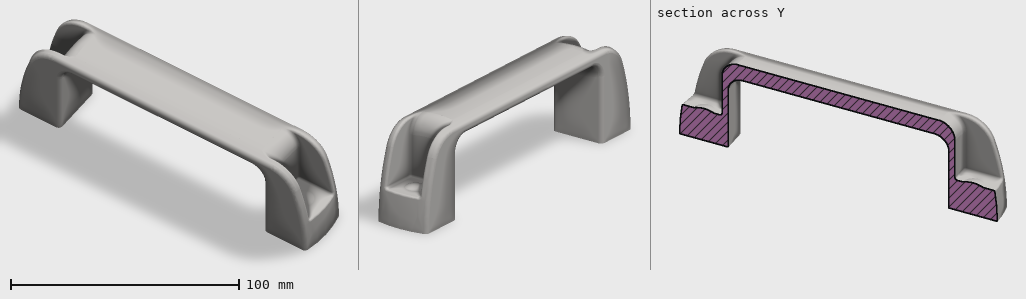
import math

import cadquery as cq

LENGTH = 156.0
WIDTH = 27.0
HEIGHT = 45.0

END_RADIUS = 100.0
SHOULDER_RADIUS = 16.0

CROWN_RADIUS = 50.0
CROWN_CUTTER_DEPTH = 4.0

OPENING_LENGTH = 108.0
OPENING_HEIGHT = 37.0
OPENING_FILLET = 7.0
SIDE_FILLET = 2.0

POCKET_WIDTH = 18.4
POCKET_FLOOR = 16.0
POCKET_WALL_X = 57.2
POCKET_FILLET = 1.0
RIM_FILLET = 1.0
ROLL_RADIUS = 8.5
ROLL_RISE = 0.05

CAP_SPACING = 132.0
CAP_DIAMETER = 10.0
CAP_HEIGHT = 1.0

half_length = LENGTH / 2
half_width = WIDTH / 2
crown_drop = CROWN_RADIUS - math.sqrt(CROWN_RADIUS**2 - half_width**2)

end_center_x = half_length - END_RADIUS
shoulder_z = HEIGHT - SHOULDER_RADIUS
center_distance = END_RADIUS - SHOULDER_RADIUS
shoulder_x = end_center_x + math.sqrt(center_distance**2 - shoulder_z**2)
blend_angle = math.asin(shoulder_z / center_distance)


def end_point(angle):
    """Point of the +X end arc at an angle above horizontal."""
    return end_center_x + END_RADIUS * math.cos(angle), END_RADIUS * math.sin(angle)


def shoulder_point(angle):
    """Point of the +X shoulder arc at an angle above horizontal."""
    x = shoulder_x + SHOULDER_RADIUS * math.cos(angle)
    z = shoulder_z + SHOULDER_RADIUS * math.sin(angle)
    return x, z


def mirrored(point):
    """The same outline point on the -X half."""
    return -point[0], point[1]


def outer_outline():
    """Outline along the middle of the handle, from the -X foot over the top to the +X foot."""
    blend = end_point(blend_angle)
    end_middle = end_point(blend_angle / 2)
    shoulder_middle = shoulder_point((blend_angle + math.pi / 2) / 2)
    return (
        cq.Workplane("XZ")
        .moveTo(-half_length, 0)
        .threePointArc(mirrored(end_middle), mirrored(blend))
        .threePointArc(mirrored(shoulder_middle), (-shoulder_x, HEIGHT))
        .lineTo(shoulder_x, HEIGHT)
        .threePointArc(shoulder_middle, blend)
        .threePointArc(end_middle, (half_length, 0))
    )


def crown_cutter():
    """Stock outside the crowned outer surface, swept along the outer outline."""
    section = (
        cq.Workplane("XY", origin=(-half_length, 0, 0))
        .moveTo(crown_drop, -half_width)
        .threePointArc((0, 0), (crown_drop, half_width))
        .lineTo(-CROWN_CUTTER_DEPTH, half_width)
        .lineTo(-CROWN_CUTTER_DEPTH, -half_width)
        .close()
    )
    return section.sweep(outer_outline())


def arched_bar(length, roof_height, side_height, roof_fillet):
    """Full-width bar along X with an arched roof, its end edges rounded over."""
    return (
        cq.Workplane("YZ", origin=(-length / 2, 0, 0))
        .moveTo(-half_width, 0)
        .lineTo(half_width, 0)
        .lineTo(half_width, side_height)
        .threePointArc((0, roof_height), (-half_width, side_height))
        .close()
        .extrude(length)
        .faces(">Z")
        .edges("<X or >X")
        .fillet(roof_fillet)
    )


def handle_body():
    """Crowned bow handle with rounded side edges, still without pockets."""
    opening = arched_bar(OPENING_LENGTH, OPENING_HEIGHT, OPENING_HEIGHT + crown_drop, OPENING_FILLET)
    body = outer_outline().close().extrude(half_width, both=True)
    body = body.cut(crown_cutter()).cut(opening)
    side_edges = body.faces("<Y or >Y").edges()
    return side_edges.filter(lambda edge: edge.BoundingBox().zmax > SIDE_FILLET).fillet(SIDE_FILLET)


def pocket_cutter():
    """Pocket at the +X end, open upward and outward, with a back wall that rolls onto the grip."""
    roof_height = HEIGHT + ROLL_RISE
    nose = arched_bar(2 * POCKET_WALL_X, roof_height, roof_height - crown_drop, ROLL_RADIUS)
    sharp_pocket = (
        cq.Workplane("XY", origin=(POCKET_WALL_X - ROLL_RADIUS, 0, POCKET_FLOOR))
        .box(half_length, POCKET_WIDTH, HEIGHT, centered=(False, True, False))
        .cut(nose)
    )
    floor_edges = sharp_pocket.faces("<Z").edges("not >X")
    wall_edges = sharp_pocket.edges("|Z").filter(lambda edge: edge.Center().z < HEIGHT - ROLL_RADIUS)
    roll_edges = sharp_pocket.edges("<Y or >Y").filter(is_roll_edge)
    return floor_edges.add(wall_edges).add(roll_edges).fillet(POCKET_FILLET)


def is_roll_edge(edge):
    """True for the curved edges where the roll meets the pocket sides."""
    return edge.geomType() not in ("LINE", "CIRCLE")


def is_shoulder_rim(edge):
    """True for the +X shoulder edges where the pocket sides break through the outer surface."""
    box = edge.BoundingBox()
    on_pocket_side = max(abs(box.ymin), abs(box.ymax)) < half_width - SIDE_FILLET - RIM_FILLET
    outside_roll = box.xmin > POCKET_WALL_X - POCKET_FILLET and box.xmax > POCKET_WALL_X + ROLL_RADIUS
    return on_pocket_side and outside_roll and box.zmin > HEIGHT / 2


def domed_cap(x):
    """Shallow spherical cap rising from a pocket floor."""
    radius = CAP_DIAMETER / 2
    sphere_radius = (radius**2 + CAP_HEIGHT**2) / (2 * CAP_HEIGHT)
    base = POCKET_FLOOR - CAP_HEIGHT
    return (
        cq.Workplane("XZ", origin=(x, 0, 0))
        .moveTo(0, base)
        .lineTo(radius, base)
        .lineTo(radius, POCKET_FLOOR)
        .radiusArc((0, POCKET_FLOOR + CAP_HEIGHT), -sphere_radius)
        .close()
        .revolve(360, (0, 0), (0, 1))
    )


def handle_half():
    """The +X half of the finished handle."""
    half_space = cq.Workplane("XY").box(half_length, WIDTH, HEIGHT, centered=(False, True, False))
    half = handle_body().cut(pocket_cutter()).intersect(half_space)
    half = half.edges().filter(is_shoulder_rim).fillet(RIM_FILLET)
    return half.union(domed_cap(CAP_SPACING / 2))


plus_half = handle_half()
result = plus_half.union(plus_half.mirror("YZ"))